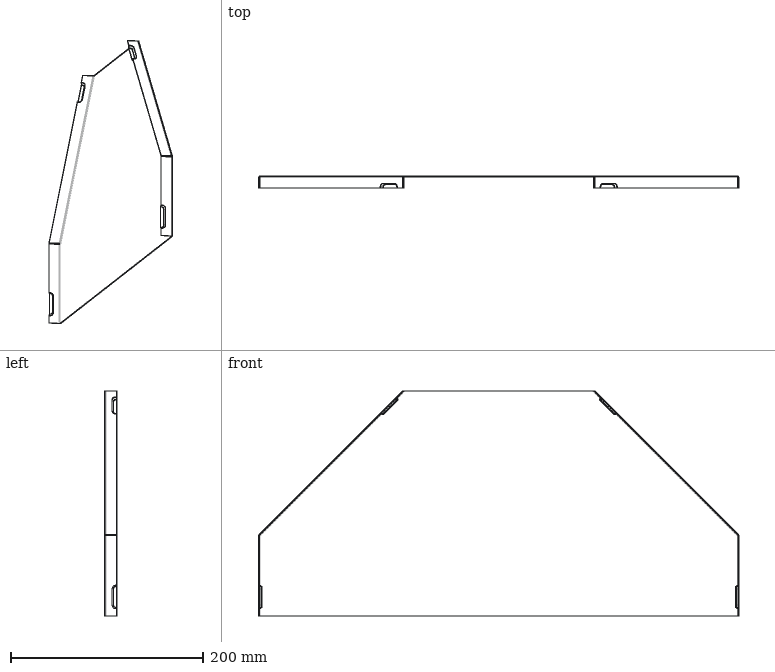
import cadquery as cq
import math

width = 500.0
height = 234.71
depth = 12.5
sheet = 0.8
top_width = 200.0
slope_angle = 45.0
slope_run = (width - top_width) / 2
side_height = height - slope_run
bend_radius = 1.5
corner_gap = 1.0
slit_length = 4 * bend_radius

dimple_length = 24.5
dimple_reach = 4.8
dimple_depth = 2.4
dimple_taper = 1.4
dimple_corner = 4.0
side_dimple_centre = 20.0
slope_dimple_centre = 21.0

half_width = width / 2
half_top = top_width / 2
back = depth / 2
front = -depth / 2
bottom = -height / 2
top = height / 2
shoulder = bottom + side_height


def round_bends(body, half, shoulder_z, y_level, radius):
    """Fillet the four bend edges at the sides and slopes of a tray-shaped body."""
    side_mid = (half, y_level, (bottom + shoulder_z) / 2)
    slope_mid = (half - slope_run / 2, y_level, shoulder_z + slope_run / 2)
    for x_side in (-1, 1):
        for x, y, z in (side_mid, slope_mid):
            bend_edge = cq.selectors.NearestToPointSelector((x_side * x, y, z))
            body = body.edges(bend_edge).fillet(radius)
    return body


def six_sided_prism(half, shoulder_z, y_level):
    """Outline with 45 degree slopes up to the top edge, from the front face to y_level."""
    upper_half = half - (top - shoulder_z)
    right_side = [(half, bottom), (half, shoulder_z), (upper_half, top)]
    left_side = [(-x, z) for x, z in reversed(right_side)]
    outline = cq.Workplane("XZ", origin=(0, front, 0)).polyline(right_side + left_side).close()
    return outline.extrude(front - y_level)


def make_tray():
    """Sheet with flanges on the sides and slopes, open at top and bottom."""
    blank = six_sided_prism(half_width, shoulder, back)
    blank = round_bends(blank, half_width, shoulder, back, bend_radius)

    inner_half = half_width - sheet
    inner_shoulder = shoulder - sheet * math.tan(math.radians(slope_angle / 2))
    inner_back = back - sheet
    hollow = six_sided_prism(inner_half, inner_shoulder, inner_back)
    hollow = round_bends(hollow, inner_half, inner_shoulder, inner_back, bend_radius - sheet)
    return blank.cut(hollow)


def corner_slit(x_side):
    """Thin cutter that parts a side flange from its slope flange along their mitre."""
    slit = cq.Workplane("XY").box(slit_length, depth - bend_radius, corner_gap)
    slit = slit.rotate((0, 0, 0), (0, 1, 0), -x_side * slope_angle / 2)
    return slit.translate((x_side * half_width, -bend_radius / 2, shoulder))


def dimple_block(rim_centre, x_side, angle, shift):
    """Tapered block pointing inwards from a flange face, moved inwards by shift.

    The flange normal points to x_side, raised by angle degrees.
    """
    tilt = math.radians(angle)
    inward = cq.Vector(-x_side * math.cos(tilt), 0, -math.sin(tilt))
    origin = cq.Vector(*rim_centre) + inward * shift
    plane = cq.Plane(origin=origin.toTuple(), xDir=(0, 1, 0), normal=inward.toTuple())

    rim = cq.Sketch().rect(2 * dimple_reach, dimple_length).vertices().fillet(dimple_corner)
    taper_angle = math.degrees(math.atan2(dimple_taper, dimple_depth))
    block = cq.Workplane(plane).placeSketch(rim).extrude(dimple_depth, taper=taper_angle)
    keep = cq.Workplane(plane).center(dimple_reach / 2, 0).rect(dimple_reach, dimple_length)
    return block.intersect(keep.extrude(dimple_depth))


result = make_tray()
slope_offset = slope_dimple_centre * math.cos(math.radians(slope_angle))
for side in (-1, 1):
    result = result.cut(corner_slit(side))
    side_rim = (side * half_width, front, bottom + side_dimple_centre)
    slope_rim = (side * (half_top + slope_offset), front, top - slope_offset)
    for rim, normal_angle in ((side_rim, 0), (slope_rim, slope_angle)):
        result = result.union(dimple_block(rim, side, normal_angle, sheet))
        result = result.cut(dimple_block(rim, side, normal_angle, 0))